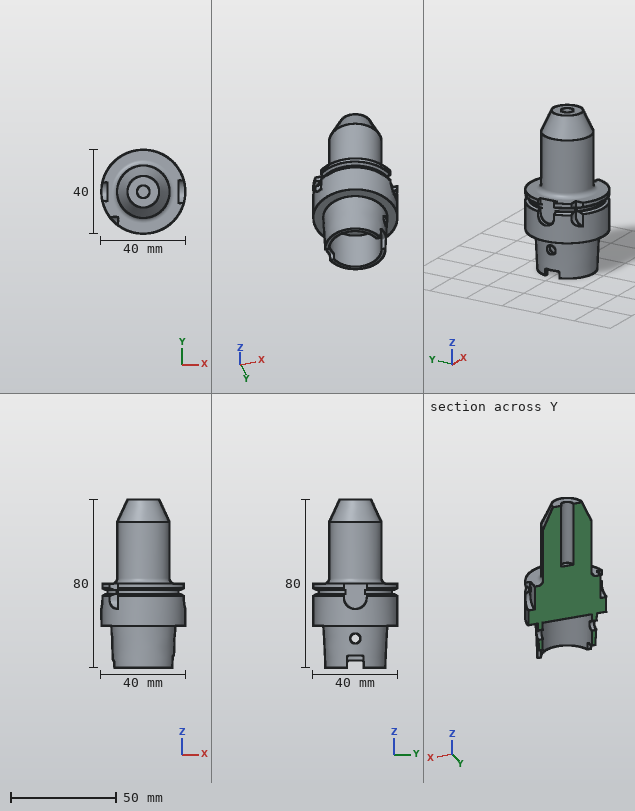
import cadquery as cq

TOTAL_HEIGHT = 80.0
FLANGE_BOTTOM = 20.0
FLANGE_TOP = 40.0
FLANGE_RADIUS = 20.0

TAPER_LARGE_RADIUS = 15.3
TAPER_SMALL_RADIUS = 14.3
CAVITY_RADIUS = 12.5
CAVITY_DEPTH = FLANGE_BOTTOM

NOSE_RADIUS = 12.5
NOSE_TIP_RADIUS = 7.5
NOSE_CONE_HEIGHT = 10.7
NOSE_FILLET = 2.5
TOOL_BORE_DIAMETER = 6.0
TOOL_BORE_DEPTH = 32.0

GROOVE_FLOOR_RADIUS = 17.4
GROOVE_LEDGE_RADIUS = 18.2
GROOVE_BOTTOM = 34.2
GROOVE_FLOOR_BOTTOM = 35.1
GROOVE_FLOOR_TOP = 37.0
GROOVE_TOP = 37.9

LEFT_SLOT_WIDTH = 9.0
LEFT_SLOT_FLOOR_X = 17.0
LEFT_SLOT_BOTTOM = 28.0
RIGHT_SLOT_WIDTH = 10.9
RIGHT_SLOT_FLOOR_X = 16.8
RIGHT_SLOT_BOTTOM = 28.0
NOTCH_FLOOR_X = 12.0
NOTCH_INNER_Y = 11.9

DRIVE_SLOT_WIDTH = 7.8
DRIVE_SLOT_FILLET = 0.7
LEFT_DRIVE_SLOT_HEIGHT = 3.5
RIGHT_DRIVE_SLOT_HEIGHT = 5.8
CROSS_HOLE_DIAMETER = 4.7
CROSS_HOLE_Z = 14.0


def holder_body():
    """Revolved outer shape: taper, grooved flange, fillet and conical nose."""
    fillet_end_radius = NOSE_RADIUS + NOSE_FILLET
    fillet_top = FLANGE_TOP + NOSE_FILLET
    profile = (
        cq.Workplane("XZ")
        .moveTo(0, 0)
        .lineTo(TAPER_SMALL_RADIUS, 0)
        .lineTo(TAPER_LARGE_RADIUS, FLANGE_BOTTOM)
        .lineTo(FLANGE_RADIUS, FLANGE_BOTTOM)
        .lineTo(FLANGE_RADIUS, GROOVE_BOTTOM)
        .lineTo(GROOVE_LEDGE_RADIUS, GROOVE_FLOOR_BOTTOM)
        .lineTo(GROOVE_FLOOR_RADIUS, GROOVE_FLOOR_BOTTOM)
        .lineTo(GROOVE_FLOOR_RADIUS, GROOVE_FLOOR_TOP)
        .lineTo(GROOVE_LEDGE_RADIUS, GROOVE_FLOOR_TOP)
        .lineTo(FLANGE_RADIUS, GROOVE_TOP)
        .lineTo(FLANGE_RADIUS, FLANGE_TOP)
        .lineTo(fillet_end_radius, FLANGE_TOP)
        .radiusArc((NOSE_RADIUS, fillet_top), NOSE_FILLET)
        .lineTo(NOSE_RADIUS, TOTAL_HEIGHT - NOSE_CONE_HEIGHT)
        .lineTo(NOSE_TIP_RADIUS, TOTAL_HEIGHT)
        .lineTo(0, TOTAL_HEIGHT)
        .close()
    )
    return profile.revolve(360, (0, 0), (0, 1))


def shank_cavity():
    return cq.Workplane("XY").circle(CAVITY_RADIUS).extrude(CAVITY_DEPTH)


def tool_bore():
    bore_floor = cq.Workplane("XY").workplane(offset=TOTAL_HEIGHT - TOOL_BORE_DEPTH)
    return bore_floor.circle(TOOL_BORE_DIAMETER / 2).extrude(TOOL_BORE_DEPTH)


def key_slot(side, width, floor_x, bottom, center_y=0):
    """Round-bottomed slot open upward, cut into the rim on the given X side (-1 or +1)."""
    radius = width / 2
    arc_center_z = bottom + radius
    slot = (
        cq.Workplane("YZ")
        .moveTo(center_y - radius, FLANGE_TOP)
        .lineTo(center_y - radius, arc_center_z)
        .threePointArc((center_y, bottom), (center_y + radius, arc_center_z))
        .lineTo(center_y + radius, FLANGE_TOP)
        .close()
        .extrude(side * FLANGE_RADIUS)
    )
    return slot.translate((side * floor_x, 0, 0))


def drive_slot(side, height):
    """Slot through one shank wall, open at the bottom, with rounded upper corners."""
    slot = (
        cq.Workplane("XY")
        .box(FLANGE_RADIUS, DRIVE_SLOT_WIDTH, height, centered=(True, True, False))
        .edges("|X and >Z")
        .fillet(DRIVE_SLOT_FILLET)
    )
    return slot.translate((side * FLANGE_RADIUS / 2, 0, 0))


def cross_hole():
    return (
        cq.Workplane("YZ")
        .center(0, CROSS_HOLE_Z)
        .circle(CROSS_HOLE_DIAMETER / 2)
        .extrude(FLANGE_RADIUS, both=True)
    )


notch_center_y = -NOTCH_INNER_Y - LEFT_SLOT_WIDTH / 2
cuts = [
    shank_cavity(),
    tool_bore(),
    key_slot(-1, LEFT_SLOT_WIDTH, LEFT_SLOT_FLOOR_X, LEFT_SLOT_BOTTOM),
    key_slot(-1, LEFT_SLOT_WIDTH, NOTCH_FLOOR_X, LEFT_SLOT_BOTTOM, notch_center_y),
    key_slot(1, RIGHT_SLOT_WIDTH, RIGHT_SLOT_FLOOR_X, RIGHT_SLOT_BOTTOM),
    drive_slot(-1, LEFT_DRIVE_SLOT_HEIGHT),
    drive_slot(1, RIGHT_DRIVE_SLOT_HEIGHT),
    cross_hole(),
]

result = holder_body()
for cut in cuts:
    result = result.cut(cut)